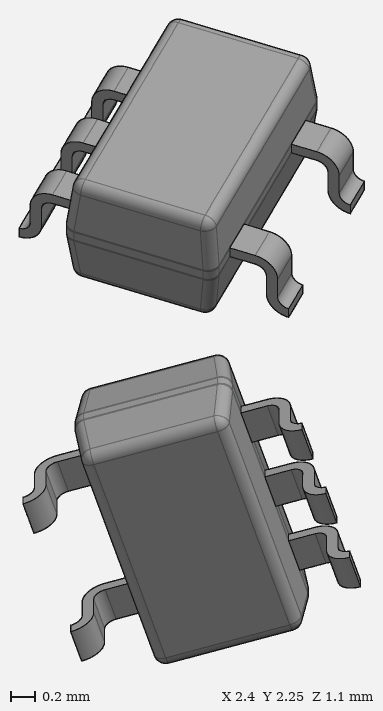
import cadquery as cq
import math


lead_span = 2.4
top_height = 1.1

housing_width = 1.35
housing_length = 2.25
standoff = 0.01
draft_angle = 6.0
edge_radius = 0.1

lead_thickness = 0.1
lead_width = 0.3
lead_pitch = 0.65
outer_bend_radius = 0.2
left_positions = [-lead_pitch, 0, lead_pitch]
right_positions = [-lead_pitch, lead_pitch]

parting_height = (standoff + top_height) / 2
half_height = (top_height - standoff) / 2
band_half_height = lead_thickness / 2
draft_height = half_height - band_half_height
lead_top = parting_height + lead_thickness / 2
lead_underside = lead_top - lead_thickness
inner_bend_radius = outer_bend_radius - lead_thickness


def make_housing():
    """Box with an upright band at mid height, drafted above and below, all edges rounded."""
    band = cq.Workplane("XY").box(housing_width, housing_length, lead_thickness)
    upper = (
        cq.Workplane("XY")
        .workplane(offset=band_half_height)
        .rect(housing_width, housing_length)
        .extrude(draft_height, taper=draft_angle)
    )
    lower = upper.mirror("XY")
    blank = band.union(upper).union(lower)
    return blank.edges().fillet(edge_radius).translate((0, 0, parting_height))


def make_lead(side, y_centre):
    """Gull-wing lead on the left (side = -1) or right (side = 1) face of the housing."""
    root = housing_width / 2
    tip = lead_span / 2
    leg_inside = tip - outer_bend_radius
    leg_outside = leg_inside + lead_thickness
    shoulder = leg_outside - outer_bend_radius
    shoulder_centre_height = lead_top - outer_bend_radius
    foot_centre_height = outer_bend_radius
    diagonal = math.sqrt(0.5)

    def point(x, z):
        return (side * x, z)

    def shoulder_middle(radius):
        return point(shoulder + radius * diagonal, shoulder_centre_height + radius * diagonal)

    def foot_middle(radius):
        return point(tip - radius * diagonal, foot_centre_height - radius * diagonal)

    profile = (
        cq.Workplane("XZ", origin=(0, y_centre, 0))
        .moveTo(*point(root, lead_top))
        .lineTo(*point(shoulder, lead_top))
        .threePointArc(shoulder_middle(outer_bend_radius), point(leg_outside, shoulder_centre_height))
        .lineTo(*point(leg_outside, foot_centre_height))
        .threePointArc(foot_middle(inner_bend_radius), point(tip, lead_thickness))
        .lineTo(*point(tip, 0))
        .threePointArc(foot_middle(outer_bend_radius), point(leg_inside, foot_centre_height))
        .lineTo(*point(leg_inside, shoulder_centre_height))
        .threePointArc(shoulder_middle(inner_bend_radius), point(shoulder, lead_underside))
        .lineTo(*point(root, lead_underside))
        .close()
    )
    return profile.extrude(lead_width / 2, both=True)


housing = make_housing()
left_leads = [make_lead(-1, y) for y in left_positions]
right_leads = [make_lead(1, y) for y in right_positions]

leads = left_leads + right_leads
result = cq.Compound.makeCompound([housing.val(), *[lead.val() for lead in leads]])